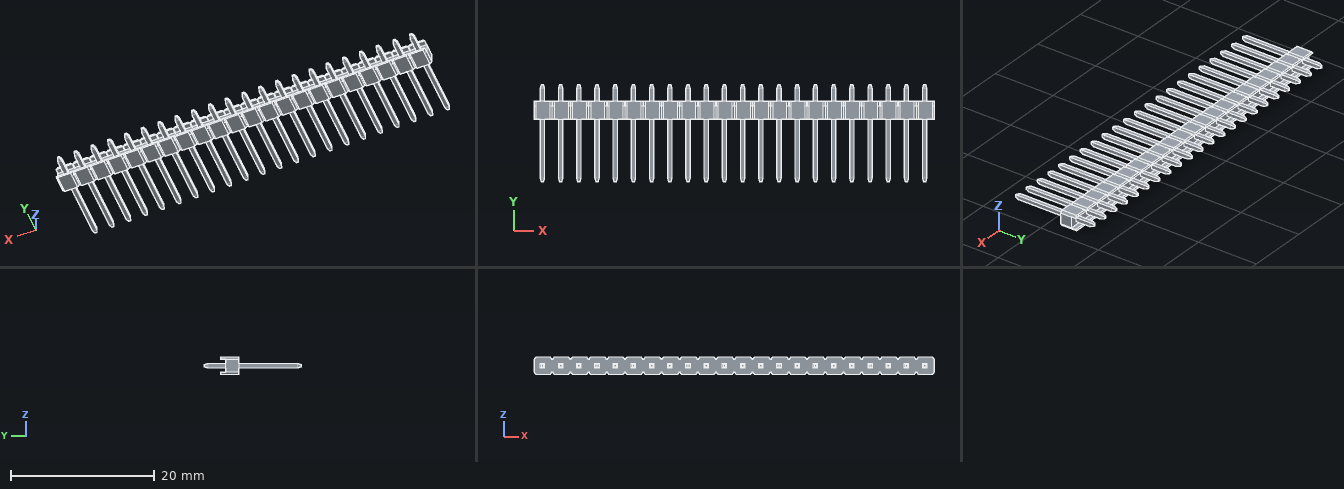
import cadquery as cq

pin_count = 22
pitch = 2.54
pin_width = 0.64
pin_overall_length = 13.6
front_pin_length = 8.75
tip_length = 0.55
tip_width = pin_width / 2
pin_offset_x = -0.1

housing_depth = 2.54
housing_height = 2.5
housing_length = pin_count * pitch
bevel_run = 0.3
bevel_drop = 0.38

recess_depth = 0.7
lip_thickness = 0.35

front_y = -housing_depth / 2
rear_y = housing_depth / 2


def block_x(index):
    """X position of the centre of one block in the row."""
    return (index - (pin_count - 1) / 2) * pitch


def make_block():
    """One pitch of housing: an octagonal profile extruded along Y."""
    side_x = pitch / 2
    flat_x = side_x - bevel_run
    top_z = housing_height / 2
    shoulder_z = top_z - bevel_drop
    outline = [
        (-side_x, shoulder_z),
        (-flat_x, top_z),
        (flat_x, top_z),
        (side_x, shoulder_z),
        (side_x, -shoulder_z),
        (flat_x, -top_z),
        (-flat_x, -top_z),
        (-side_x, -shoulder_z),
    ]
    return cq.Workplane("XZ").polyline(outline).close().extrude(housing_depth / 2, both=True)


def make_housing():
    """Row of blocks whose bevelled corners meet as V grooves."""
    block = make_block()
    housing = block.translate((block_x(0), 0, 0))
    for index in range(1, pin_count):
        housing = housing.union(block.translate((block_x(index), 0, 0)))
    return housing


def make_recess():
    """Full-length slot to be cut into the rear of the housing."""
    recess_height = housing_height - 2 * lip_thickness
    recess = cq.Workplane("XY").box(housing_length, recess_depth, recess_height)
    return recess.translate((0, rear_y - recess_depth / 2, 0))


def make_tip(base_y, end_y):
    """Square pyramid frustum running along Y from the pin shank to the pin end."""
    return (
        cq.Workplane("XZ", origin=(0, base_y, 0))
        .rect(pin_width, pin_width)
        .workplane(offset=base_y - end_y)
        .rect(tip_width, tip_width)
        .loft(ruled=True)
    )


def make_pin():
    """Square pin along Y, tapered at both ends."""
    front_end = front_y - front_pin_length
    rear_end = front_end + pin_overall_length
    shank_length = pin_overall_length - 2 * tip_length
    shank_middle = (front_end + rear_end) / 2
    shank = cq.Workplane("XY").box(pin_width, shank_length, pin_width).translate((0, shank_middle, 0))
    front_tip = make_tip(front_end + tip_length, front_end)
    rear_tip = make_tip(rear_end - tip_length, rear_end)
    return shank.union(front_tip).union(rear_tip)


pin = make_pin()
result = make_housing().cut(make_recess())
for pin_index in range(pin_count):
    result = result.union(pin.translate((block_x(pin_index) + pin_offset_x, 0, 0)))